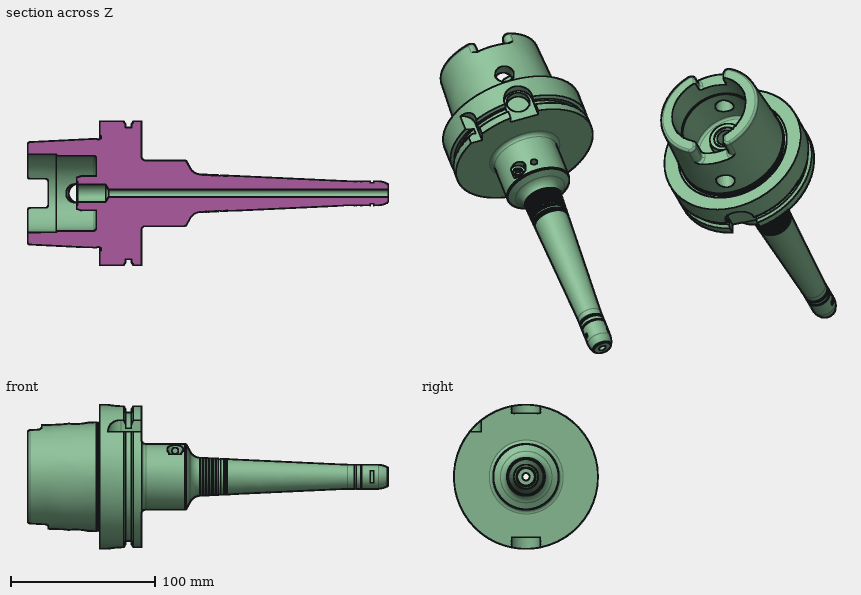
import cadquery as cq
import math


drill_point_angle = 118

total_length = 250.0
flange_start = 50.0
flange_width = 29.0
flange_end = flange_start + flange_width
hub_end = 110.0
nose_start = 221.5
tip_start = 243.0

gauge_radius = 37.0
gauge_position = 30.0
taper_slope = 1 / 20
taper_end = 47.8
relief_depth = 0.5
relief_length = 0.8
face_relief_radius = 39.8
face_relief_depth = 0.8
mouth_bore_radius = 27.0
mouth_bore_depth = 20.0
bore_radius = 26.0
bore_floor = 47.5
bore_floor_fillet = 1.8
rim_fillet = 1.8

keyway_width = 20.0
keyway_depth_top = 9.8
keyway_depth_bottom = 14.2
keyway_floor_fillet = 2.0
keyway_flare = 3.8

access_diameter = 13.0
access_position = 35.2
access_tilt = 10

nut_front = 34.0
nut_radius = 12.0
nut_nose_radius = 11.0
nut_nose_length = 3.2
nut_recess_radius = 8.0
nut_recess_depth = 0.8
nut_bore_diameter = 12.0
nut_bore_depth = 20.0
coolant_diameter = 5.0

flange_radius = 50.0
groove_offset = 20.0
groove_centre = flange_start + groove_offset
groove_root_radius = 45.8
groove_wall_radius = 47.8
groove_root_width = 4.0
groove_mouth_width = 6.8

slot_width = 20.0
slot_start = 55.5
slot_floor_top = 44.0
slot_floor_bottom = 42.0
chip_diameter = 16.0
chip_position = 65.0
chip_depth = 5.0

notch_floor_z = 31.2
notch_wall_y = -31.0
notch_radius = 9.0

hub_radius = 45.8 / 2
hub_fillet = 2.8
hub_chamfer = 0.38
hub_edge_length = 1.0
neck_radius = 13.2
neck_start = 119.8
neck_arc_radius = 8.0
neck_arc_angle = 65

ring_width = 0.8
ring_depth = 0.38
fine_ring_start = 119.2
fine_ring_pitch = 2.12
fine_ring_count = 6
wide_ring_start = 132.2
wide_ring_width = 1.5
end_ring_starts = (135.8, 137.5)

nose_radius = 8.5
nose_groove_depth = 0.15
nose_grooves = ((226.2, 1.5), (230.8, 0.8))
tip_radius = 6.8
tip_edge = 0.8
tip_arc_radius = 15.0
side_notch_start = 237.5
side_notch_width = 2.2
side_notch_depth = 1.15

screw_position = 102.2
screw_y = -12.5
screw_pocket_diameter = 11.0
screw_pocket_floor = 15.8
screw_recess_diameter = 6.8
screw_recess_depth = 0.8
screw_hole_diameter = 4.0
screw_hole_depth = 2.5
cross_hole_diameter = 4.5
cross_hole_z = 18.0
cross_hole_depth = 2.5
vent_y = -0.8
vent_diameter = 4.5
vent_depth = 7.5


def taper_radius(x):
    return gauge_radius + (x - gauge_position) * taper_slope


def revolve_about_x(profile):
    return profile.close().revolve(360, (0, 0, 0), (1, 0, 0))


def cylinder_x(start, length, radius):
    return cq.Workplane("YZ", origin=(start, 0, 0)).circle(radius).extrude(length)


def cylinder_z(x, y, bottom, height, diameter):
    return cq.Workplane("XY", origin=(x, y, bottom)).circle(diameter / 2).extrude(height)


def block(x0, x1, y0, y1, z0, z1):
    return cq.Workplane("XY").box(x1 - x0, y1 - y0, z1 - z0, centered=False).translate((x0, y0, z0))


def ring(start, width, inner, outer):
    return cq.Workplane("YZ", origin=(start, 0, 0)).circle(outer).circle(inner).extrude(width)


def fillet_nearest(solid, point, radius):
    return solid.edges(cq.selectors.NearestToPointSelector(point)).fillet(radius)


def make_taper():
    """Solid cone with a relief groove at the flange and two keyways in its rounded rim."""
    end_radius = taper_radius(taper_end)
    relief_radius = end_radius - relief_depth
    foot = flange_start + face_relief_depth
    cone = revolve_about_x(
        cq.Workplane("XY")
        .lineTo(0, taper_radius(0))
        .lineTo(taper_end, end_radius)
        .lineTo(taper_end + relief_length, relief_radius)
        .lineTo(taper_end + 2 * relief_length, relief_radius)
        .lineTo(flange_start, end_radius)
        .lineTo(foot, end_radius)
        .lineTo(foot, 0)
    )
    cone = cut_keyway(cone, keyway_depth_top, 1)
    cone = cut_keyway(cone, keyway_depth_bottom, -1)
    return cone.faces("<X").edges().fillet(rim_fillet)


def cut_keyway(cone, depth, side):
    """Keyway on the +Z or -Z side: walls flare out at the cone, floor corners are rounded."""
    half = keyway_width / 2
    z0, z1 = sorted((0, side * flange_radius))
    cone = cone.cut(block(0, depth, -half, half, z0, z1))
    outer_z = side * math.sqrt(taper_radius(depth / 2) ** 2 - half**2)
    inner_z = side * bore_radius / 2
    for y in (-half, half):
        cone = fillet_nearest(cone, (depth / 2, y, outer_z), keyway_flare)
    for y in (-half, half):
        cone = fillet_nearest(cone, (depth, y, inner_z), keyway_floor_fillet)
    return cone


def make_bore():
    """Clamping bore, slightly wider at the mouth, with a rounded corner at its floor."""
    return revolve_about_x(
        cq.Workplane("XY")
        .lineTo(0, mouth_bore_radius)
        .lineTo(mouth_bore_depth, mouth_bore_radius)
        .lineTo(mouth_bore_depth, bore_radius)
        .lineTo(bore_floor - bore_floor_fillet, bore_radius)
        .radiusArc((bore_floor, bore_radius - bore_floor_fillet), bore_floor_fillet)
        .lineTo(bore_floor, 0)
    )


def access_hole_cutter(side):
    """Hole through the taper wall that leans towards the spindle end as it goes inwards."""
    surface = taper_radius(access_position)
    reach = surface - nut_radius
    angle = math.radians(access_tilt)
    inward = cq.Vector(-math.sin(angle), 0, -side * math.cos(angle))
    centre = cq.Vector(access_position, 0, side * surface)
    start = centre - inward * (reach / 2)
    return cq.Workplane(cq.Solid.makeCylinder(access_diameter / 2, reach, start, inward))


def make_flange():
    """Flange disc with its gripper groove and the relief ring around the taper."""
    mouth = groove_mouth_width / 2
    root = groove_root_width / 2
    disc = revolve_about_x(
        cq.Workplane("XY")
        .moveTo(flange_start, 0)
        .lineTo(flange_start, flange_radius)
        .lineTo(groove_centre - mouth, flange_radius)
        .lineTo(groove_centre - root, groove_wall_radius)
        .lineTo(groove_centre - root, groove_root_radius)
        .lineTo(groove_centre + root, groove_root_radius)
        .lineTo(groove_centre + root, groove_wall_radius)
        .lineTo(groove_centre + mouth, flange_radius)
        .lineTo(flange_end, flange_radius)
        .lineTo(flange_end, 0)
    )
    return disc.cut(cylinder_x(flange_start, face_relief_depth, face_relief_radius))


def drive_slot_cutter(floor, side):
    """Round-ended slot, open towards the tool, cut down to the given floor distance."""
    half = slot_width / 2
    centre = slot_start + half
    height = flange_radius - floor
    bottom = floor if side > 0 else -floor - height
    cutter = cylinder_z(centre, 0, bottom, height, slot_width)
    return cutter.union(block(centre, flange_end, -half, half, bottom, bottom + height))


def notch_cutter():
    """L-shaped notch with a rounded end that marks the angular position of the flange."""
    centre_x = slot_start + notch_radius
    centre_y = notch_wall_y - notch_radius
    height = flange_radius - notch_floor_z
    corner = cylinder_z(centre_x, centre_y, notch_floor_z, height, 2 * notch_radius)
    behind = block(centre_x, flange_end, -flange_radius, notch_wall_y, notch_floor_z, flange_radius)
    outside = block(slot_start, flange_end, -flange_radius, centre_y, notch_floor_z, flange_radius)
    return corner.union(behind).union(outside)


def make_hub_and_neck():
    """Hub, concave transition, slender cone and rounded tip as one turned profile."""
    arc_centre_radius = neck_radius + neck_arc_radius
    angle = math.radians(neck_arc_angle)
    arc_start = (
        neck_start - neck_arc_radius * math.sin(angle),
        arc_centre_radius - neck_arc_radius * math.cos(angle),
    )
    hub_edge_radius = hub_radius - hub_chamfer
    return revolve_about_x(
        cq.Workplane("XY")
        .moveTo(flange_end, 0)
        .lineTo(flange_end, hub_radius + hub_fillet)
        .radiusArc((flange_end + hub_fillet, hub_radius), -hub_fillet)
        .lineTo(hub_end - hub_edge_length, hub_radius)
        .lineTo(hub_end, hub_edge_radius)
        .lineTo(*arc_start)
        .radiusArc((neck_start, neck_radius), -neck_arc_radius)
        .lineTo(nose_start, nose_radius)
        .lineTo(tip_start, nose_radius)
        .radiusArc((total_length - tip_edge, tip_radius), tip_arc_radius)
        .lineTo(total_length, tip_radius - tip_edge)
        .lineTo(total_length, 0)
    )


def neck_radius_at(x):
    return neck_radius + (nose_radius - neck_radius) * (x - neck_start) / (nose_start - neck_start)


def groove_cutters():
    """Shallow rings around the neck and the nose."""
    rings = [(fine_ring_start + i * fine_ring_pitch, ring_width) for i in range(fine_ring_count)]
    rings.append((wide_ring_start, wide_ring_width))
    rings += [(start, ring_width) for start in end_ring_starts]
    cutters = [ring(x, w, neck_radius_at(x) - ring_depth, hub_radius) for x, w in rings]
    cutters += [ring(x, w, nose_radius - nose_groove_depth, hub_radius) for x, w in nose_grooves]
    return cutters


def side_notch_cutter(side):
    """Flat-bottomed cut across one side of the nose."""
    inner = nose_radius - side_notch_depth
    y0, y1 = sorted((side * inner, side * hub_radius))
    return block(side_notch_start, side_notch_start + side_notch_width, y0, y1, -nose_radius, nose_radius)


def screw_cutters():
    """Screw pocket, its side hole and the vent hole, all in the upper side of the hub."""
    recess_floor = screw_pocket_floor - screw_recess_depth
    hole_floor = recess_floor - screw_hole_depth
    pocket_wall_y = screw_y + screw_pocket_diameter / 2
    side_hole = (
        cq.Workplane("XZ", origin=(screw_position, screw_y, cross_hole_z))
        .circle(cross_hole_diameter / 2)
        .extrude(-(pocket_wall_y + cross_hole_depth - screw_y))
    )
    vent_floor = hub_radius - vent_depth
    return [
        cylinder_z(screw_position, screw_y, screw_pocket_floor, hub_radius, screw_pocket_diameter),
        cylinder_z(screw_position, screw_y, recess_floor, hub_radius, screw_recess_diameter),
        drill_cutter(screw_position, screw_y, hole_floor, screw_hole_diameter),
        drill_cutter(screw_position, vent_y, vent_floor, vent_diameter),
        side_hole,
    ]


def drill_cutter(x, y, floor, diameter):
    """Drilled hole from above with a conical point below the given floor height."""
    radius = diameter / 2
    point = radius / math.tan(math.radians(drill_point_angle / 2))
    profile = (
        cq.Workplane("XZ", origin=(x, y, 0))
        .moveTo(0, floor - point)
        .lineTo(radius, floor)
        .lineTo(radius, hub_radius)
        .lineTo(0, hub_radius)
        .close()
    )
    return profile.revolve(360, (0, 0, 0), (0, 1, 0))


def make_coolant_nut():
    """Nut standing on the bore floor, with a tapered front edge."""
    return revolve_about_x(
        cq.Workplane("XY")
        .moveTo(nut_front, 0)
        .lineTo(nut_front, nut_nose_radius)
        .lineTo(nut_front + nut_nose_length, nut_radius)
        .lineTo(bore_floor, nut_radius)
        .lineTo(bore_floor, 0)
    )


def coolant_cutter():
    """Stepped coolant passage: recess, nut bore with a drill point, then a hole to the tip."""
    bore_r = nut_bore_diameter / 2
    hole_r = coolant_diameter / 2
    point = (bore_r - hole_r) / math.tan(math.radians(drill_point_angle / 2))
    bore_end = nut_front + nut_bore_depth
    return revolve_about_x(
        cq.Workplane("XY")
        .moveTo(nut_front, 0)
        .lineTo(nut_front, nut_recess_radius)
        .lineTo(nut_front + nut_recess_depth, nut_recess_radius)
        .lineTo(nut_front + nut_recess_depth, bore_r)
        .lineTo(bore_end, bore_r)
        .lineTo(bore_end + point, hole_r)
        .lineTo(total_length, hole_r)
        .lineTo(total_length, 0)
    )


body = make_taper().union(make_flange()).union(make_hub_and_neck())
body = body.cut(make_bore())
body = body.union(make_coolant_nut()).cut(coolant_cutter())

for side in (-1, 1):
    body = body.cut(access_hole_cutter(side))
    body = body.cut(side_notch_cutter(side))

body = body.cut(drive_slot_cutter(slot_floor_top, 1))
body = body.cut(drive_slot_cutter(slot_floor_bottom, -1))
body = body.cut(cylinder_z(chip_position, 0, slot_floor_top - chip_depth, chip_depth, chip_diameter))
body = body.cut(notch_cutter())

for cutter in groove_cutters() + screw_cutters():
    body = body.cut(cutter)

result = body